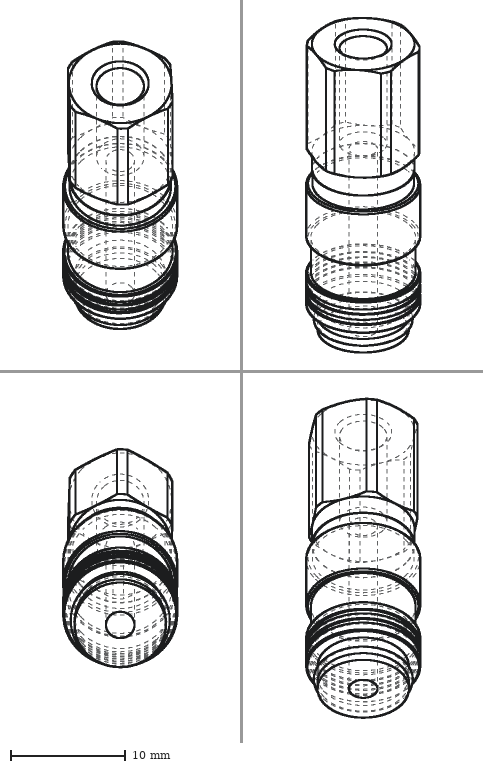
import cadquery as cq
import math

total_height = 29.0
nose_top = 2.52
flange_top = 5.8
collar_bottom = 9.35
collar_top = 14.82
neck_top = 16.25
hex_bottom = 18.07

nose_diameter = 8.0
flange_diameter = 10.0
body_diameter = 9.15
collar_diameter = 10.0
neck_diameter = 8.9
shank_diameter = 9.0

flange_chamfer = 0.12
collar_chamfer = 0.17

groove_diameter = 9.7
groove_width = 0.52
groove_pitch = 1.05
groove_middle = 4.18

ring_section_radius = 0.32
ring_outer_diameter = 8.67
ring_height = 1.07

hex_across_flats = 9.0
hex_corner_diameter = 9.9
hex_chamfer_height = 0.23

through_diameter = 2.5
bore_diameter = 4.15
bore_mouth_diameter = 5.0
bore_depth = 10.15
drill_point_angle = 118.0


def cylinder(diameter, bottom, top):
    """Round section about Z between two heights."""
    return cq.Workplane("XY").workplane(offset=bottom).circle(diameter / 2).extrude(top - bottom)


def revolve_profile(points):
    """Turn a closed (radius, height) outline about Z."""
    return cq.Workplane("XZ").polyline(points).close().revolve(360, (0, 0), (0, 1))


def make_flange():
    flange = cylinder(flange_diameter, nose_top, flange_top).edges().chamfer(flange_chamfer)
    for side in (-1, 1):
        middle = groove_middle + side * groove_pitch / 2
        bottom = middle - groove_width / 2
        top = middle + groove_width / 2
        groove = cylinder(flange_diameter, bottom, top).cut(cylinder(groove_diameter, bottom, top))
        flange = flange.cut(groove)
    return flange


def make_sealing_ring():
    center_radius = ring_outer_diameter / 2 - ring_section_radius
    return (
        cq.Workplane("XZ")
        .center(center_radius, ring_height)
        .circle(ring_section_radius)
        .revolve(360, (-center_radius, 0), (-center_radius, 1))
    )


def make_hexagon():
    vertex_radius = hex_across_flats / 2 / math.cos(math.radians(30))
    vertex_angles = [math.radians(30 + 60 * corner) for corner in range(6)]
    vertices = [(vertex_radius * math.cos(a), vertex_radius * math.sin(a)) for a in vertex_angles]
    prism = (
        cq.Workplane("XY")
        .workplane(offset=hex_bottom)
        .polyline(vertices)
        .close()
        .extrude(total_height - hex_bottom)
    )
    face_radius = hex_across_flats / 2
    corner_radius = hex_corner_diameter / 2
    envelope = revolve_profile([
        (0, hex_bottom),
        (face_radius, hex_bottom),
        (corner_radius, hex_bottom + hex_chamfer_height),
        (corner_radius, total_height - hex_chamfer_height),
        (face_radius, total_height),
        (0, total_height),
    ])
    return prism.intersect(envelope)


def make_bore():
    through_radius = through_diameter / 2
    bore_radius = bore_diameter / 2
    mouth_radius = bore_mouth_diameter / 2
    bore_bottom = total_height - bore_depth
    cone_height = (bore_radius - through_radius) / math.tan(math.radians(drill_point_angle / 2))
    return revolve_profile([
        (0, 0),
        (through_radius, 0),
        (through_radius, bore_bottom - cone_height),
        (bore_radius, bore_bottom),
        (bore_radius, total_height - (mouth_radius - bore_radius)),
        (mouth_radius, total_height),
        (0, total_height),
    ])


collar = cylinder(collar_diameter, collar_bottom, collar_top).edges().chamfer(collar_chamfer)

result = (
    cylinder(nose_diameter, 0, nose_top)
    .union(make_sealing_ring())
    .union(make_flange())
    .union(cylinder(body_diameter, flange_top, collar_bottom))
    .union(collar)
    .union(cylinder(neck_diameter, collar_top, neck_top))
    .union(cylinder(shank_diameter, neck_top, hex_bottom))
    .union(make_hexagon())
    .cut(make_bore())
)